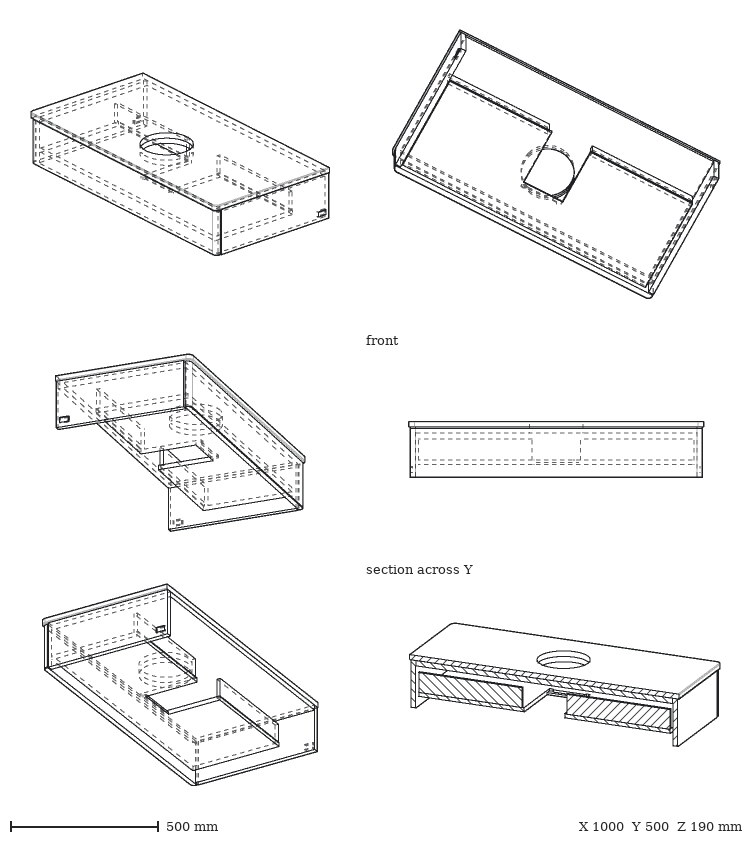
import cadquery as cq

LENGTH = 1000.0
DEPTH = 500.0
HEIGHT = 190.0
TOP_THICKNESS = 20.0
TOP_CORNER_RADIUS = 20.0
TOP_EDGE_RADIUS = 3.0

DRAIN_DIAMETER = 180.0
DRAIN_Y = -54.0

SIDE_INSET = 5.0
PANEL_THICKNESS = 19.0
SIDE_FRONT_Y = -220.0

REVEAL = 4.0
FRONT_INSET = 6.0
FRONT_CORNER_DIAMETER = 35.0
FRONT_EDGE_CHAMFER = 2.0

FLOOR_THICKNESS = 16.0
FLOOR_BOTTOM_Z = 43.0
FLOOR_REAR_Y = 116.0
BOX_CLEARANCE = 10.0
BACK_WALL_THICKNESS = 13.0
BACK_WALL_FRONT_Y = 100.0
BACK_WALL_TOP_Z = 130.0
BACK_WALL_SETBACK = 7.0

NOTCH_WIDTH = 150.0
NOTCH_FRONT_Y = -86.0
LEDGE_WIDTH = 13.0
LEDGE_DROP = 8.0
RELIEF_WIDTH = 13.0
RELIEF_DEPTH = 7.0
RELIEF_RUN = 4.0

POCKET_LENGTH = 33.0
POCKET_HEIGHT = 19.0
POCKET_DEPTH = 8.0
POCKET_BOTTOM_Z = 17.0
POCKET_REAR_GAP = 13.0
COVER_CLEARANCE = 2.0

HALF_DEPTH = DEPTH / 2
CARCASS_TOP_Z = HEIGHT - TOP_THICKNESS
CARCASS_HALF_LENGTH = LENGTH / 2 - SIDE_INSET
INNER_HALF_LENGTH = CARCASS_HALF_LENGTH - PANEL_THICKNESS
FRONT_REAR_Y = SIDE_FRONT_Y - REVEAL
FRONT_FACE_Y = -HALF_DEPTH + FRONT_INSET
FLOOR_TOP_Z = FLOOR_BOTTOM_Z + FLOOR_THICKNESS
BOX_HALF_LENGTH = INNER_HALF_LENGTH - BOX_CLEARANCE


def block(x_range, y_range, z_range):
    """Rectangular block spanning the given (low, high) ranges."""
    lows, highs = zip(x_range, y_range, z_range)
    sizes = [high - low for low, high in zip(lows, highs)]
    return cq.Workplane("XY").box(*sizes, centered=False).translate(lows)


def drain_cutter():
    return cq.Workplane("XY").center(0, DRAIN_Y).circle(DRAIN_DIAMETER / 2).extrude(HEIGHT)


def make_countertop():
    slab = block((-LENGTH / 2, LENGTH / 2), (-HALF_DEPTH, HALF_DEPTH), (CARCASS_TOP_Z, HEIGHT))
    slab = slab.edges("|Z and <Y").fillet(TOP_CORNER_RADIUS)
    slab = slab.faces(">Z or <Z").edges("not >Y").fillet(TOP_EDGE_RADIUS)
    return slab.cut(drain_cutter())


def make_support_panel():
    panel = block(
        (-INNER_HALF_LENGTH, INNER_HALF_LENGTH),
        (SIDE_FRONT_Y, HALF_DEPTH),
        (CARCASS_TOP_Z - PANEL_THICKNESS, CARCASS_TOP_Z),
    )
    return panel.cut(drain_cutter())


def side_range(side, inner, outer):
    """Range along X between two distances from the middle; side is -1 (left) or 1 (right)."""
    return tuple(sorted((side * inner, side * outer)))


def cover_block(side, clearance):
    """Block filling a side pocket, short of its front and top walls by the clearance."""
    rear_y = HALF_DEPTH - POCKET_REAR_GAP
    return block(
        side_range(side, CARCASS_HALF_LENGTH - POCKET_DEPTH, CARCASS_HALF_LENGTH),
        (rear_y - POCKET_LENGTH + clearance, rear_y),
        (POCKET_BOTTOM_Z, POCKET_BOTTOM_Z + POCKET_HEIGHT - clearance),
    )


def make_side_panel(side):
    panel = block(
        side_range(side, INNER_HALF_LENGTH, CARCASS_HALF_LENGTH),
        (SIDE_FRONT_Y, HALF_DEPTH),
        (0, CARCASS_TOP_Z),
    )
    pocket = cover_block(side, clearance=0)
    return panel.cut(pocket)


def make_cover(side):
    """Cover plate lying flush with the outer face of a side panel."""
    return cover_block(side, COVER_CLEARANCE)


def make_drawer_front():
    front = block(
        (-CARCASS_HALF_LENGTH, CARCASS_HALF_LENGTH),
        (FRONT_FACE_Y, FRONT_REAR_Y),
        (0, CARCASS_TOP_Z - REVEAL),
    )
    front = front.edges("|Z and <Y").fillet(FRONT_CORNER_DIAMETER / 2)
    return front.faces("<Z").edges("not >Y").chamfer(FRONT_EDGE_CHAMFER)


def make_ledge_cutter():
    """Recess that lowers the front rim of the notch, reaching further forward at both ends."""
    end_x = NOTCH_WIDTH / 2
    relief_x = end_x - RELIEF_WIDTH
    slant_x = relief_x - RELIEF_RUN
    front_y = NOTCH_FRONT_Y - LEDGE_WIDTH
    relief_y = front_y - RELIEF_DEPTH
    right_half = [
        (0, NOTCH_FRONT_Y),
        (end_x, NOTCH_FRONT_Y),
        (end_x, relief_y),
        (relief_x, relief_y),
        (slant_x, front_y),
        (0, front_y),
    ]
    outline = cq.Workplane("XY").workplane(offset=FLOOR_TOP_Z - LEDGE_DROP).polyline(right_half).close()
    half = outline.extrude(LEDGE_DROP)
    return half.union(half.mirror("YZ"))


def make_drawer_floor():
    floor = block(
        (-BOX_HALF_LENGTH, BOX_HALF_LENGTH),
        (FRONT_REAR_Y, FLOOR_REAR_Y),
        (FLOOR_BOTTOM_Z, FLOOR_TOP_Z),
    )
    notch_x = (-NOTCH_WIDTH / 2, NOTCH_WIDTH / 2)
    notch = block(notch_x, (NOTCH_FRONT_Y, FLOOR_REAR_Y), (FLOOR_BOTTOM_Z, FLOOR_TOP_Z))
    return floor.cut(notch).cut(make_ledge_cutter())


def make_drawer_back(side):
    """Rear drawer wall on one side of the siphon notch."""
    return block(
        side_range(side, NOTCH_WIDTH / 2 + BACK_WALL_SETBACK, BOX_HALF_LENGTH),
        (BACK_WALL_FRONT_Y, BACK_WALL_FRONT_Y + BACK_WALL_THICKNESS),
        (FLOOR_TOP_Z, BACK_WALL_TOP_Z),
    )


bodies = [
    make_countertop().val(),
    make_support_panel().val(),
    make_drawer_front().val(),
    make_drawer_floor().val(),
]
for side in (-1, 1):
    bodies.append(make_side_panel(side).val())
    bodies.append(make_cover(side).val())
    bodies.append(make_drawer_back(side).val())

result = cq.Compound.makeCompound(bodies)